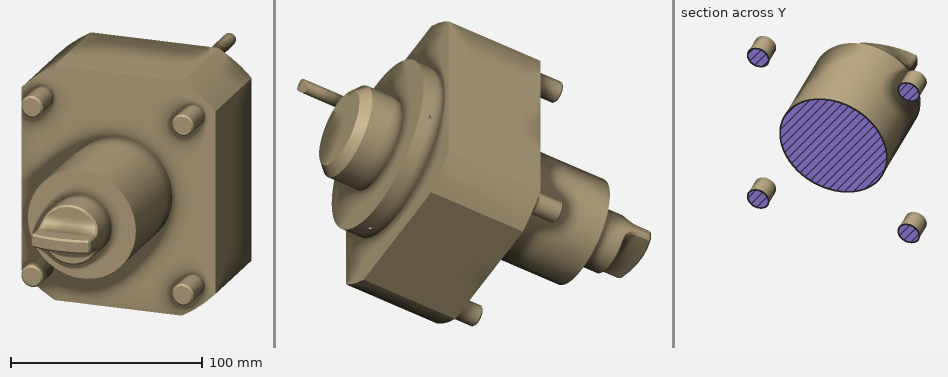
import cadquery as cq
import math


total_length = 189.7

block_width = 108.0
block_height = 130.0
block_depth = 55.2
corner_radius = 74.0

flange_diameter = 96.0
flange_rear = 67.2
dimple_diameter = 2.0
dimple_depth = 1.0
dimple_count = 4
first_dimple_angle = 22.5
boss_diameter = 52.0
boss_rear = 90.3
boss_chamfer = 5.0

pin_diameter = 12.0
pin_length = 17.5
pin_chamfer = 1.0
pin_spacing_x = 83.8
pin_spacing_z = 93.9

cable_diameter = 7.0
cable_x = 26.0
cable_z = 54.0
cable_rear = 98.6
cable_bevel = 3.0
grommet_diameter = 12.0

spindle_diameter = 60.0
spindle_length = 55.5
groove_diameter = 59.8
groove_start = 2.5
groove_end = 5.5

shaft_diameter = 33.0
shaft_shoulder = 73.6
collar_diameter = 33.4
collar_length = 0.5
tang_tip = total_length - cable_rear
tang_thickness = 7.4
tang_root_radius = 6.3
tang_tip_radius = 50.0
shaft_chamfer = 1.0


def cylinder_y(diameter, y_start, y_end, x=0.0, z=0.0):
    """Cylinder along Y between two Y positions."""
    base = cq.Workplane("XZ", origin=(x, y_start, z))
    return base.circle(diameter / 2).extrude(y_start - y_end)


def make_block():
    box = cq.Workplane("XY").box(block_width, block_depth, block_height)
    box = box.translate((0, block_depth / 2, 0))
    return box.intersect(cylinder_y(2 * corner_radius, 0, block_depth))


def make_flange():
    flange = cylinder_y(flange_diameter, block_depth, flange_rear)
    dimple_y = (block_depth + flange_rear) / 2
    for index in range(dimple_count):
        angle = math.radians(first_dimple_angle + index * 360 / dimple_count)
        outward = cq.Vector(math.cos(angle), 0, math.sin(angle))
        bottom = outward * (flange_diameter / 2 - dimple_depth) + cq.Vector(0, dimple_y, 0)
        dimple = cq.Solid.makeCylinder(dimple_diameter / 2, 2 * dimple_depth, bottom, outward)
        flange = flange.cut(cq.Workplane(dimple))
    return flange


def make_boss():
    return cylinder_y(boss_diameter, flange_rear, boss_rear).faces(">Y").chamfer(boss_chamfer)


def make_pins():
    pins = (
        cq.Workplane("XZ")
        .rarray(pin_spacing_x, pin_spacing_z, 2, 2)
        .circle(pin_diameter / 2)
        .extrude(pin_length)
    )
    return pins.faces("<Y").chamfer(pin_chamfer)


def make_cable():
    cable = cylinder_y(cable_diameter, block_depth, cable_rear, cable_x, cable_z)
    cable_bottom = cable_z - cable_diameter / 2
    bevel = (
        cq.Workplane("YZ")
        .moveTo(cable_rear, cable_bottom)
        .lineTo(cable_rear - cable_bevel, cable_bottom)
        .lineTo(cable_rear, cable_bottom + cable_bevel)
        .close()
        .extrude(cable_x + cable_diameter)
    )
    return cable.cut(bevel)


def make_grommet():
    """Ball half sunk in the block's rear face."""
    return cq.Workplane("XY", origin=(cable_x, block_depth, cable_z)).sphere(grommet_diameter / 2)


def make_spindle():
    front = cylinder_y(spindle_diameter, -groove_end, -spindle_length)
    groove = cylinder_y(groove_diameter, -groove_start, -groove_end)
    return cylinder_y(spindle_diameter, 0, -groove_start).union(groove).union(front)


def make_shaft():
    half_thickness = tang_thickness / 2
    beyond_tip = 2 * tang_tip
    root_edge = half_thickness + tang_root_radius
    shaft_radius = shaft_diameter / 2
    arc_mid = tang_root_radius * (1 - math.sqrt(0.5))

    shaft = cylinder_y(shaft_diameter, -spindle_length, -tang_tip)
    crown = (
        cq.Workplane("XY", origin=(0, tang_tip_radius - tang_tip, 0))
        .circle(tang_tip_radius)
        .extrude(shaft_radius, both=True)
    )
    shaft = shaft.intersect(crown)

    cutter = (
        cq.Workplane("YZ")
        .moveTo(-shaft_shoulder, shaft_diameter)
        .lineTo(-shaft_shoulder, root_edge)
        .threePointArc(
            (-shaft_shoulder - arc_mid, half_thickness + arc_mid),
            (-shaft_shoulder - tang_root_radius, half_thickness),
        )
        .lineTo(-beyond_tip, half_thickness)
        .lineTo(-beyond_tip, shaft_diameter)
        .close()
        .extrude(shaft_diameter, both=True)
    )
    shaft = shaft.cut(cutter).cut(cutter.mirror("XY"))

    rim = cq.selectors.BoxSelector(
        (-shaft_diameter, -beyond_tip, -shaft_diameter),
        (shaft_diameter, -shaft_shoulder + shaft_chamfer, shaft_diameter),
    )
    shaft = shaft.edges(rim).edges("not(|X)").chamfer(shaft_chamfer)
    collar = cylinder_y(collar_diameter, -spindle_length, -spindle_length - collar_length)
    return shaft.union(collar)


result = make_block()
for feature in (
    make_flange(),
    make_boss(),
    make_pins(),
    make_cable(),
    make_grommet(),
    make_spindle(),
    make_shaft(),
):
    result = result.union(feature)